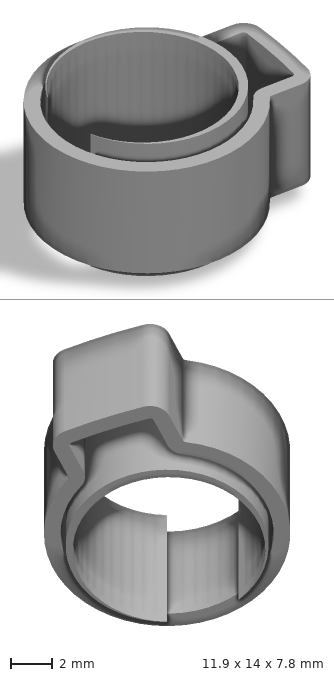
import cadquery as cq
import math

band_outer_radius = 5.95
band_thickness = 0.8
band_inner_radius = band_outer_radius - band_thickness
band_height = 6.0

ear_outer_half_width = 3.0
ear_inner_half_width = ear_outer_half_width - band_thickness
ear_top = 8.04
ear_crown_radius = 30.0
ear_outer_corner_radius = 1.0
ear_inner_corner_radius = ear_outer_corner_radius - band_thickness
ear_outer_root_radius = 0.2
ear_inner_root_radius = ear_outer_root_radius + band_thickness

liner_outer_radius = 4.9
liner_inner_radius = 4.65
liner_bore_offset = liner_outer_radius - liner_inner_radius
liner_height = 7.8
liner_gap_half_angle = math.radians(22.5)


def ear_block(half_width, top, crown_radius, corner_radius):
    """Solid ear from the ring axis up to a bowed top with rounded corners."""
    shoulder = top - crown_radius + math.sqrt(crown_radius**2 - half_width**2)
    return (
        cq.Workplane("XY")
        .workplane(offset=-band_height / 2)
        .moveTo(-half_width, 0)
        .lineTo(-half_width, shoulder)
        .threePointArc((0, top), (half_width, shoulder))
        .lineTo(half_width, 0)
        .close()
        .extrude(band_height)
        .edges("|Z")
        .edges(">Y")
        .fillet(corner_radius)
    )


def band_outline(radius, ear, ear_half_width, root_radius):
    """Disc joined to an ear, with the two corners where they meet rounded."""
    outline = cq.Workplane("XY").circle(radius).extrude(band_height / 2, both=True).union(ear)
    root_y = math.sqrt(radius**2 - ear_half_width**2)
    for side in (-1, 1):
        root = cq.selectors.NearestToPointSelector((side * ear_half_width, root_y, 0))
        outline = outline.edges("|Z").edges(root).fillet(root_radius)
    return outline


def make_band():
    outer_ear = ear_block(
        ear_outer_half_width,
        ear_top,
        ear_crown_radius,
        ear_outer_corner_radius,
    )
    inner_ear = ear_block(
        ear_inner_half_width,
        ear_top - band_thickness,
        ear_crown_radius - band_thickness,
        ear_inner_corner_radius,
    )
    outside = band_outline(band_outer_radius, outer_ear, ear_outer_half_width, ear_outer_root_radius)
    opening = band_outline(band_inner_radius, inner_ear, ear_inner_half_width, ear_inner_root_radius)
    return outside.cut(opening)


def make_liner():
    body = cq.Workplane("XY").circle(liner_outer_radius).extrude(liner_height / 2, both=True)
    bore = (
        cq.Workplane("XY")
        .center(0, -liner_bore_offset)
        .circle(liner_inner_radius)
        .extrude(liner_height / 2, both=True)
    )
    wedge_reach = 2 * liner_outer_radius
    wedge_half_width = wedge_reach * math.tan(liner_gap_half_angle)
    gap = (
        cq.Workplane("XY")
        .polyline([(0, 0), (-wedge_half_width, -wedge_reach), (wedge_half_width, -wedge_reach)])
        .close()
        .extrude(liner_height / 2, both=True)
    )
    return body.cut(gap).cut(bore)


band = make_band()
liner = make_liner()

result = cq.Compound.makeCompound([band.val(), liner.val()])